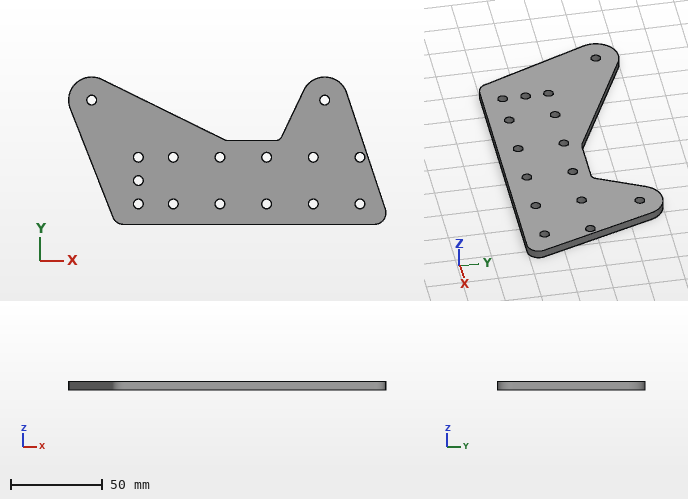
import cadquery as cq
import math

length = 173.2
depth = 80.5
thickness = 4.7

ear_radius = 12.6
foot_radius = 6.4
notch_radius = 3.5
ear_spacing = 127.2
left_foot_x = 30.1
notch_floor_y = 45.9
notch_left_x = 86.8
notch_right_x = 113.1

hole_diameter = 5.2
hole_pitch = 25.5
first_column_x = 38.1
grid_start_x = 57.2
grid_columns = 5
lower_row_y = 11.3

ear_y = depth - ear_radius
left_ear = (ear_radius, ear_y)
right_ear = (ear_radius + ear_spacing, ear_y)
notch_center_y = notch_floor_y + notch_radius

corners = [
    ((left_foot_x, foot_radius), foot_radius),
    ((length - foot_radius, foot_radius), foot_radius),
    (right_ear, ear_radius),
    ((notch_right_x, notch_center_y), -notch_radius),
    ((notch_left_x, notch_center_y), -notch_radius),
    (left_ear, ear_radius),
]


def on_circle(corner, angle):
    """Point at the signed radius of a corner circle."""
    (x, y), radius = corner
    return (x + radius * math.cos(angle), y + radius * math.sin(angle))


def tangent_angle(start, end):
    """Direction of the outward normal of the edge tangent to two corner circles."""
    (x1, y1), r1 = start
    (x2, y2), r2 = end
    spacing = math.hypot(x2 - x1, y2 - y1)
    return math.atan2(y2 - y1, x2 - x1) - math.acos((r1 - r2) / spacing)


def plate():
    """Plate bounded by straight edges tangent to the corner arcs."""
    count = len(corners)
    normals = [tangent_angle(corners[i], corners[(i + 1) % count]) for i in range(count)]
    outline = cq.Workplane("XY").moveTo(*on_circle(corners[0], normals[0]))
    for i in range(1, count + 1):
        corner = corners[i % count]
        arriving = normals[i - 1]
        leaving = normals[i % count]
        turn = math.remainder(leaving - arriving, 2 * math.pi)
        outline = outline.lineTo(*on_circle(corner, arriving))
        outline = outline.threePointArc(
            on_circle(corner, arriving + turn / 2), on_circle(corner, leaving)
        )
    return outline.close().extrude(thickness)


def hole_centers():
    """Ear holes, a column of three holes and a two-row grid."""
    centers = [left_ear, right_ear]
    for row in range(3):
        centers.append((first_column_x, lower_row_y + row * hole_pitch / 2))
    for column in range(grid_columns):
        for row in range(2):
            centers.append((grid_start_x + column * hole_pitch, lower_row_y + row * hole_pitch))
    return centers


holes = cq.Workplane("XY").pushPoints(hole_centers()).circle(hole_diameter / 2).extrude(thickness)
result = plate().cut(holes)